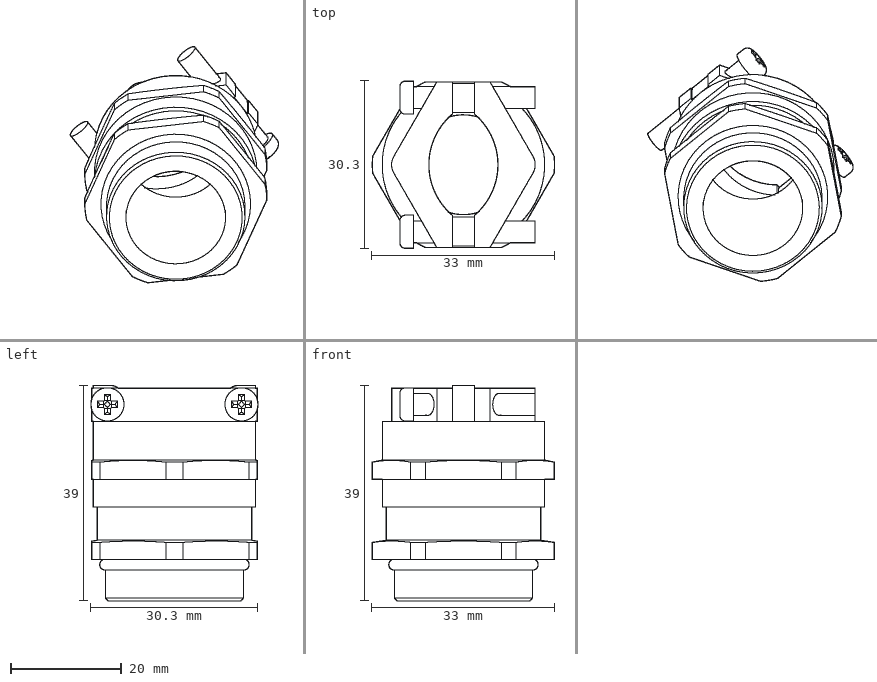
import cadquery as cq
import math

height = 39.0
spigot_radius = 12.5
spigot_chamfer = 0.5
lower_radius = 14.0
upper_radius = 14.7
upper_bottom_z = 17.0
body_top_z = 32.5
bore_radius = 9.0

ring_radius = 12.5
ring_section_radius = 1.0
ring_z = 6.6

hex_flat_width = 30.0
hex_flat_distance = hex_flat_width / 2
hex_corner_radius = 16.5
lower_hex_z = 7.5
upper_hex_z = 22.0
hex_side_height = 3.12
hex_cone_rise = 0.4

clamp_top_z = 38.5
clamp_tip_x = 13.45
clamp_tip_fillet = 3.0
opening_half_width = 6.25
opening_arc_radius = 12.0
slot_width = 4.0

block_inner_y = 9.48
block_fillet = 2.0

screw_radius = 2.0
screw_y = 12.13
screw_z = 35.55
screw_end_x = 13.0
head_radius = 3.0
head_face_x = -11.5
head_length = 2.5
head_fillet = 1.0

recess_length = 3.6
recess_floor_length = 2.8
recess_width = 1.15
recess_depth = 0.95
core_mouth_width = 1.8
core_floor_width = 0.78
core_depth = 1.25


def disc(radius, bottom_z, top_z):
    return cq.Workplane("XY").workplane(offset=bottom_z).circle(radius).extrude(top_z - bottom_z)


def make_body():
    spigot = disc(spigot_radius, 0, lower_hex_z).faces("<Z").chamfer(spigot_chamfer)
    lower = disc(lower_radius, lower_hex_z, upper_bottom_z)
    upper = disc(upper_radius, upper_bottom_z, body_top_z)
    ring = (
        cq.Workplane("XZ")
        .center(ring_radius, ring_z)
        .circle(ring_section_radius)
        .revolve(360, (-ring_radius, 0), (-ring_radius, 1))
    )
    return spigot.union(lower).union(upper).union(ring)


def make_hex_flange(bottom_z, barrel_radius):
    """Hexagon flange whose top slopes as a shallow cone up to the barrel."""
    corner_diameter = 2 * hex_flat_distance / math.cos(math.radians(30))
    side_z = bottom_z + hex_side_height
    cone_top_z = side_z + hex_cone_rise
    prism = (
        cq.Workplane("XY")
        .workplane(offset=bottom_z)
        .polygon(6, corner_diameter)
        .extrude(hex_side_height + hex_cone_rise)
    )
    turned = (
        cq.Workplane("XZ")
        .moveTo(0, bottom_z)
        .lineTo(hex_corner_radius, bottom_z)
        .lineTo(hex_corner_radius, side_z)
        .lineTo(barrel_radius, cone_top_z)
        .lineTo(0, cone_top_z)
        .close()
        .revolve(360, (0, 0), (0, 1))
    )
    return prism.intersect(turned)


def make_clamp():
    """Flat hexagon with rounded tips, a pointed-oval opening and a slot for the blocks."""
    flat_half_x = clamp_tip_x - hex_flat_distance * math.tan(math.radians(30))
    thickness = clamp_top_z - body_top_z
    base = cq.Workplane("XY").workplane(offset=body_top_z)
    plate = (
        base.polyline([
            (clamp_tip_x, 0),
            (flat_half_x, hex_flat_distance),
            (-flat_half_x, hex_flat_distance),
            (-clamp_tip_x, 0),
            (-flat_half_x, -hex_flat_distance),
            (flat_half_x, -hex_flat_distance),
        ])
        .close()
        .extrude(thickness)
        .edges("|Z and (>X or <X)")
        .fillet(clamp_tip_fillet)
    )
    arc_offset = opening_arc_radius - opening_half_width
    opening_tip_y = math.sqrt(opening_arc_radius**2 - arc_offset**2)
    opening = (
        base.moveTo(0, -opening_tip_y)
        .threePointArc((opening_half_width, 0), (0, opening_tip_y))
        .threePointArc((-opening_half_width, 0), (0, -opening_tip_y))
        .close()
        .extrude(thickness)
    )
    slot = base.rect(slot_width, 2 * hex_flat_distance).extrude(thickness)
    return plate.cut(opening).cut(slot)


def make_block():
    """Spacer block on the +Y side, rounded along its inner top edge."""
    return (
        cq.Workplane("XY")
        .box(slot_width, upper_radius - block_inner_y, height - body_top_z, centered=(True, False, False))
        .translate((0, block_inner_y, body_top_z))
        .edges("|X and >Z and <Y")
        .fillet(block_fillet)
    )


def make_recess():
    """Cross recess entering +X from the origin: two V grooves and a tapered square core."""
    half_length = recess_length / 2
    half_floor = recess_floor_length / 2
    half_width = recess_width / 2
    wedge = (
        cq.Workplane("XZ")
        .polyline([(0, -half_width), (recess_depth, 0), (0, half_width)])
        .close()
        .extrude(half_length, both=True)
    )
    sloped_ends = (
        cq.Workplane("XY")
        .polyline([
            (0, -half_length),
            (recess_depth, -half_floor),
            (recess_depth, half_floor),
            (0, half_length),
        ])
        .close()
        .extrude(half_width, both=True)
    )
    groove = wedge.intersect(sloped_ends)
    cross_groove = groove.rotate((0, 0, 0), (1, 0, 0), 90)
    core = (
        cq.Workplane("YZ")
        .rect(core_mouth_width, core_mouth_width)
        .workplane(offset=core_depth)
        .rect(core_floor_width, core_floor_width)
        .loft(ruled=True)
        .rotate((0, 0, 0), (1, 0, 0), 45)
    )
    return groove.union(cross_groove).union(core)


def make_screw(y):
    shank_length = screw_end_x - head_face_x - head_length
    head = (
        cq.Workplane("YZ")
        .circle(head_radius)
        .extrude(head_length)
        .faces("<X")
        .edges()
        .fillet(head_fillet)
    )
    shank = (
        cq.Workplane("YZ")
        .workplane(offset=head_length)
        .circle(screw_radius)
        .extrude(shank_length)
    )
    screw = head.cut(make_recess()).union(shank)
    return screw.translate((head_face_x, y, screw_z))


part = make_body()
part = part.union(make_hex_flange(lower_hex_z, lower_radius))
part = part.union(make_hex_flange(upper_hex_z, upper_radius))
part = part.cut(disc(bore_radius, 0, body_top_z))
part = part.union(make_clamp())
block = make_block()
part = part.union(block).union(block.mirror("XZ"))
for side in (1, -1):
    part = part.union(make_screw(side * screw_y))

result = part